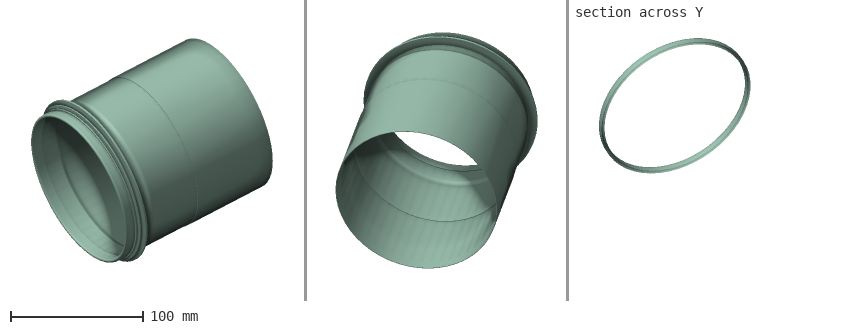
import cadquery as cq
import math

total_length = 136.0
wall = 0.5

tube_radius = 124.0 / 2
neck_radius = 120.5 / 2
hem_inner_radius = 118.2 / 2
hem_end = 8.5
groove_start = 5.8
cone_start = 21.9
cone_end = 25.0
shoulder_bend_radius = 2.7
tube_end = 73.2

sleeve_start = 66.2

seal_radius = 123.1 / 2
seal_end = 15.5
flange_radius = 134.5 / 2
flange_root_start = 13.5
flange_tip_start = 14.0
middle_lip_radius = 129.5 / 2
middle_lip_root = (10.2, 11.7)
middle_lip_tip = (10.5, 11.3)
small_lip_radius = 62.8
small_lip_start = 8.0
small_lip_tip_end = 8.8
small_lip_root_end = 10.0


def revolve_about_y(profile):
    """Turn a closed (radius, Y) profile into a ring around the Y axis."""
    return profile.close().revolve(360, (0, 0, 0), (0, 1, 0))


def bend_arc(center, radius, turn):
    """Middle and end points of an arc that starts on the +radius side of its center."""
    def at(angle):
        return (center[0] + radius * math.cos(angle), center[1] + radius * math.sin(angle))
    return at(turn / 2), at(turn)


def make_spigot():
    """Sheet-metal tube of constant wall, with its mouth rolled inward."""
    tube_bore = tube_radius - wall
    neck_bore = neck_radius - wall
    hem_radius = (tube_radius - hem_inner_radius) / 2
    hem_center = tube_radius - hem_radius
    cone_angle = math.atan2(tube_radius - neck_radius, cone_end - cone_start)

    bend_start = cone_end + shoulder_bend_radius * math.tan(cone_angle / 2)
    bend_center = (tube_radius - shoulder_bend_radius, bend_start)
    outer_middle, outer_foot = bend_arc(bend_center, shoulder_bend_radius, -cone_angle)
    inner_middle, inner_foot = bend_arc(bend_center, shoulder_bend_radius - wall, -cone_angle)

    inner_cone_start = cone_start + wall * math.tan(cone_angle / 2)

    profile = (
        cq.Workplane("XY")
        .moveTo(hem_inner_radius, hem_end)
        .lineTo(hem_inner_radius, hem_radius)
        .threePointArc((hem_center, 0), (tube_radius, hem_radius))
        .lineTo(tube_radius, groove_start)
        .lineTo(neck_radius, groove_start)
        .lineTo(neck_radius, cone_start)
        .lineTo(*outer_foot)
        .threePointArc(outer_middle, (tube_radius, bend_start))
        .lineTo(tube_radius, tube_end)
        .lineTo(tube_bore, tube_end)
        .lineTo(tube_bore, bend_start)
        .threePointArc(inner_middle, inner_foot)
        .lineTo(neck_bore, inner_cone_start)
        .lineTo(neck_bore, groove_start - wall)
        .lineTo(tube_bore, groove_start - wall)
        .lineTo(tube_bore, hem_radius)
        .threePointArc((hem_center, wall), (hem_inner_radius + wall, hem_radius))
        .lineTo(hem_inner_radius + wall, hem_end)
    )
    return revolve_about_y(profile)


def make_sleeve():
    """Plain thin sleeve around the tail of the spigot."""
    profile = (
        cq.Workplane("XY")
        .moveTo(tube_radius, sleeve_start)
        .lineTo(tube_radius + wall, sleeve_start)
        .lineTo(tube_radius + wall, total_length)
        .lineTo(tube_radius, total_length)
    )
    return revolve_about_y(profile)


def make_seal():
    """Seal band with a small lip, a middle lip and a large end flange."""
    profile = (
        cq.Workplane("XY")
        .moveTo(neck_radius, groove_start)
        .lineTo(seal_radius, groove_start)
        .lineTo(seal_radius, small_lip_start)
        .lineTo(small_lip_radius, small_lip_start)
        .lineTo(small_lip_radius, small_lip_tip_end)
        .lineTo(seal_radius, small_lip_root_end)
        .lineTo(seal_radius, middle_lip_root[0])
        .lineTo(middle_lip_radius, middle_lip_tip[0])
        .lineTo(middle_lip_radius, middle_lip_tip[1])
        .lineTo(seal_radius, middle_lip_root[1])
        .lineTo(seal_radius, flange_root_start)
        .lineTo(flange_radius, flange_tip_start)
        .lineTo(flange_radius, seal_end)
        .lineTo(neck_radius, seal_end)
    )
    return revolve_about_y(profile)


spigot = make_spigot()
sleeve = make_sleeve()
seal = make_seal()

result = cq.Compound.makeCompound([spigot.val(), sleeve.val(), seal.val()])